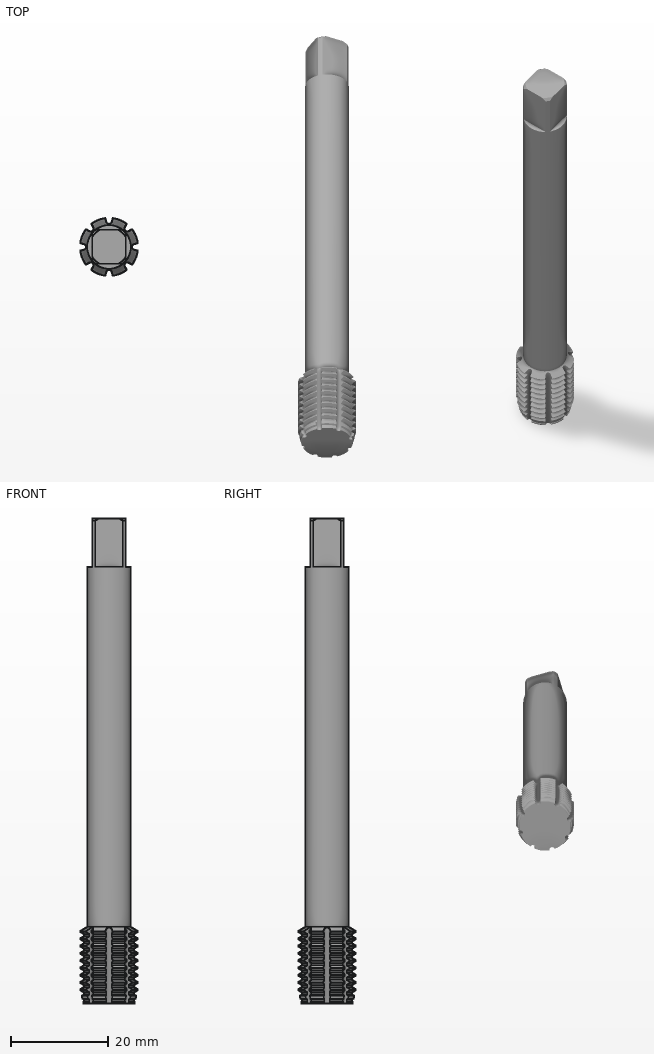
import cadquery as cq
import math

overall_length = 100.0
shank_diameter = 9.0

square_length = 10.0
square_across_flats = 7.0
end_chamfer = 0.5

thread_diameter = 12.02
thread_pitch = 1.5
root_diameter = 10.4
flank_angle = 30.0
crest_width = 0.15
top_crest_height = 14.85
crest_count = 11

lead_length = 3.0
lead_end_diameter = 10.6

groove_count = 8
groove_mouth_width = 1.55
groove_round_radius = 0.55
groove_bottom_radius = 4.75

shank_radius = shank_diameter / 2
thread_radius = thread_diameter / 2
root_radius = root_diameter / 2
flank_slope = math.tan(math.radians(flank_angle))
flank_height = (thread_radius - root_radius) * flank_slope
head_length = top_crest_height + crest_width / 2 + (thread_radius - shank_radius) * flank_slope


def make_head_profile():
    """Half section of the head: ring-shaped V teeth, the top flank running in to the shank."""
    points = [(0, head_length), (shank_radius, head_length)]
    for index in range(crest_count):
        crest_z = top_crest_height - index * thread_pitch
        crest_top = crest_z + crest_width / 2
        crest_bottom = crest_z - crest_width / 2
        if index > 0:
            points.append((root_radius, crest_top + flank_height))
        points.append((thread_radius, crest_top))
        points.append((thread_radius, crest_bottom))
        points.append((root_radius, crest_bottom - flank_height))
    points.append((0, points[-1][1]))
    return cq.Workplane("XZ").polyline(points).close()


def make_lead_envelope():
    """Cylinder tapered at its bottom, which trims the lowest teeth."""
    return (
        cq.Workplane("XZ")
        .moveTo(0, 0)
        .lineTo(lead_end_diameter / 2, 0)
        .lineTo(thread_radius, lead_length)
        .lineTo(thread_radius, head_length)
        .lineTo(0, head_length)
        .close()
        .revolve(360, (0, 0, 0), (0, 1, 0))
    )


def make_groove():
    """One V groove with a rounded bottom, opening toward +X and running the full head length."""
    round_center = groove_bottom_radius + groove_round_radius
    mouth_half_width = groove_mouth_width / 2
    mouth_distance = math.hypot(thread_radius - round_center, mouth_half_width)
    mouth_angle = math.atan2(mouth_half_width, thread_radius - round_center)
    tangent_angle = mouth_angle + math.acos(groove_round_radius / mouth_distance)
    tangent_x = round_center + groove_round_radius * math.cos(tangent_angle)
    tangent_y = groove_round_radius * math.sin(tangent_angle)
    return (
        cq.Workplane("XY")
        .moveTo(thread_radius, -mouth_half_width)
        .lineTo(thread_radius, mouth_half_width)
        .lineTo(tangent_x, tangent_y)
        .threePointArc((groove_bottom_radius, 0), (tangent_x, -tangent_y))
        .close()
        .extrude(head_length)
    )


def make_head():
    """Threaded head with its lead taper and evenly spaced grooves."""
    teeth = make_head_profile().revolve(360, (0, 0, 0), (0, 1, 0))
    head = teeth.intersect(make_lead_envelope())
    for index in range(groove_count):
        groove = make_groove().rotate((0, 0, 0), (0, 0, 1), index * 360 / groove_count)
        head = head.cut(groove)
    return head


def make_shank():
    """Round shank with a driving square whose rounded corners are chamfered on top."""
    square_base = overall_length - square_length
    round_length = square_base - head_length
    shank = cq.Workplane("XY").workplane(offset=head_length).circle(shank_radius).extrude(round_length)
    square = (
        cq.Workplane("XY")
        .workplane(offset=square_base)
        .rect(square_across_flats, square_across_flats)
        .extrude(square_length)
    )
    corner_round = (
        cq.Workplane("XY")
        .workplane(offset=square_base)
        .circle(shank_radius)
        .extrude(square_length)
        .faces(">Z")
        .chamfer(end_chamfer)
    )
    return shank.union(square.intersect(corner_round))


head = make_head()
shank = make_shank()
result = cq.Compound.makeCompound([head.val(), shank.val()])